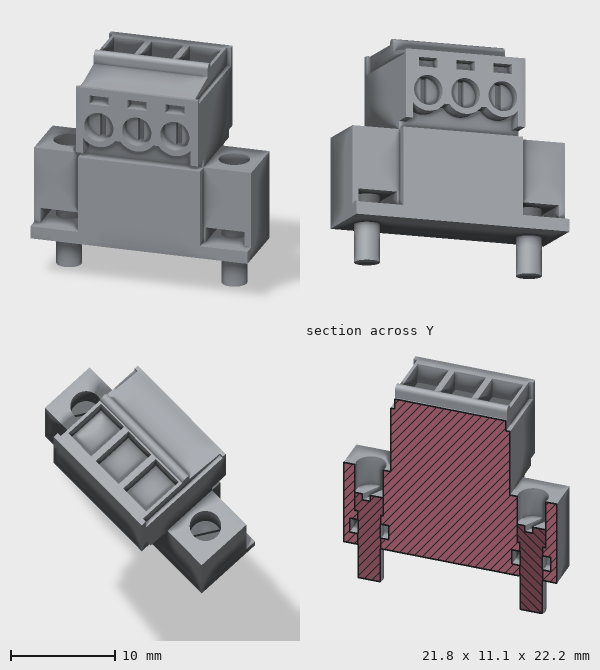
import cadquery as cq


poles = 3
pitch = 3.82
total_length = 21.82
plug_width = 12.25
plug_depth = 11.1
base_bottom = 3.73
shoulder_top = 12.68
plug_bottom = 13.48
plug_top = 21.7
total_height = 22.2

step_front = 0.67
flange_front = 1.82
flange_back = 7.73
back_ledge = 9.9
ledge_chamfer = 0.6
lip_depth = 0.4
lip_top = 20.22
rail_front = 4.42
rail_width = 0.95
rail_foot = 20.95
rail_radius = rail_width / 2
rail_back = rail_front + rail_width

side_recess_depth = 0.4
side_recess_floor = 19.8
side_recess_back = 10.55

pocket_width = 3.2
pocket_front = 5.53
pocket_back = 9.83
pocket_depth = 2.06
window_width = 1.9
window_bottom = 18.58
window_height = 0.9
window_depth = 1.33
bore_height = 16.32
bore_diameter = 2.93
terminal_screw_recess = 1.3
terminal_screw_length = 1.33
terminal_slot_width = 0.58
terminal_slot_depth = 0.67
collar_radius = 2.05
gap_top = 15.1
gap_width = 10.8

foot_top = 4.97
flange_screw_x = 8.3
flange_screw_y = 4.75
head_diameter = 3.02
head_seat = 7.55
head_height = 2.0
head_slot_width = 0.67
head_slot_depth = 0.67
head_slot_angle = 60
shank_diameter = 2.5
notch_width = 3.93
notch_top = 6.5

pole_positions = [(i - (poles - 1) / 2) * pitch for i in range(poles)]
flange_positions = [-flange_screw_x, flange_screw_x]


def box(x_range, y_range, z_range):
    """Axis-aligned box given by its limits along each axis."""
    x0, x1 = x_range
    y0, y1 = y_range
    z0, z1 = z_range
    return cq.Workplane("XY").box(x1 - x0, y1 - y0, z1 - z0, centered=False).translate((x0, y0, z0))


def centred(middle, width):
    """Limits of a span of the given width around its middle."""
    return middle - width / 2, middle + width / 2


def upright_cylinder(x, diameter, z0, z1):
    """Vertical cylinder on the axis of a flange screw."""
    return (
        cq.Workplane("XY", origin=(x, flange_screw_y, z0))
        .circle(diameter / 2)
        .extrude(z1 - z0)
    )


def pole_cylinder(x, radius, y0, y1):
    """Cylinder along Y on the axis of a terminal screw."""
    return (
        cq.Workplane("XZ", origin=(x, y0, bore_height))
        .circle(radius)
        .extrude(-(y1 - y0))
    )


def plug_block():
    """Side profile of the plug, extruded over the width of the poles."""
    profile = (
        cq.Workplane("YZ", origin=(-plug_width / 2, 0, 0))
        .moveTo(0, plug_bottom)
        .lineTo(flange_front, plug_bottom)
        .lineTo(flange_front, shoulder_top)
        .lineTo(step_front, shoulder_top)
        .lineTo(step_front, base_bottom)
        .lineTo(flange_back, base_bottom)
        .lineTo(flange_back, shoulder_top - ledge_chamfer)
        .lineTo(flange_back + ledge_chamfer, shoulder_top)
        .lineTo(back_ledge, shoulder_top)
        .lineTo(back_ledge, plug_bottom)
        .lineTo(plug_depth, plug_bottom)
        .lineTo(plug_depth, plug_top)
        .lineTo(rail_back, plug_top)
        .lineTo(rail_back, total_height - rail_radius)
        .threePointArc(
            (rail_front + rail_radius, total_height),
            (rail_front, total_height - rail_radius),
        )
        .lineTo(rail_front, rail_foot)
        .lineTo(lip_depth, lip_top)
        .lineTo(0, lip_top)
        .close()
    )
    return profile.extrude(plug_width)


def flanges():
    """Bar behind the foot that forms both flanges, with the foot along its front edge."""
    length = centred(0, total_length)
    bar = box(length, (flange_front, flange_back), (base_bottom, shoulder_top))
    foot = box(length, (step_front, flange_front), (base_bottom, foot_top))
    return bar.union(foot)


def side_recess(side):
    """Recess in the upper part of one end face (side is -1 or 1)."""
    outer = side * plug_width / 2
    inner = outer - side * side_recess_depth
    x_range = sorted((outer, inner))
    return box(x_range, (lip_depth, side_recess_back), (side_recess_floor, total_height))


def panel_gap():
    """Gap between the legs of the front panel, stopping at the collars around the bores."""
    gap = box(centred(0, gap_width), (0, flange_front), (plug_bottom, gap_top))
    for x in pole_positions:
        gap = gap.cut(pole_cylinder(x, collar_radius, 0, flange_front))
    return gap


def cut_pole(body, x):
    """Wire pocket, test window and screw bore of one pole."""
    pocket = box(
        centred(x, pocket_width),
        (pocket_front, pocket_back),
        (plug_top - pocket_depth, plug_top),
    )
    window = box(
        centred(x, window_width),
        (0, window_depth),
        (window_bottom, window_bottom + window_height),
    )
    bore_depth = terminal_screw_recess + terminal_screw_length
    bore = pole_cylinder(x, bore_diameter / 2, 0, bore_depth)
    return body.cut(pocket).cut(window).cut(bore)


def cut_flange(body, x):
    """Stepped screw hole and front notch of one flange."""
    head_hole = upright_cylinder(x, head_diameter, head_seat, shoulder_top)
    shank_hole = upright_cylinder(x, shank_diameter, base_bottom, head_seat)
    notch_back = flange_screw_y + notch_width / 2
    notch = box(centred(x, notch_width), (flange_front, notch_back), (foot_top, notch_top))
    return body.cut(head_hole).cut(shank_hole).cut(notch)


def make_housing():
    body = plug_block().union(flanges()).cut(panel_gap())
    for side in (-1, 1):
        body = body.cut(side_recess(side))
    for x in pole_positions:
        body = cut_pole(body, x)
    for x in flange_positions:
        body = cut_flange(body, x)
    return body


def make_terminal_screw(x):
    """Slotted screw recessed in the bore of one pole."""
    face = terminal_screw_recess
    screw = pole_cylinder(x, bore_diameter / 2, face, face + terminal_screw_length)
    slot = box(
        centred(x, terminal_slot_width),
        (face, face + terminal_slot_depth),
        centred(bore_height, bore_diameter),
    )
    return screw.cut(slot)


def make_flange_screw(x):
    """Slotted mounting screw whose shank projects below the base."""
    head_top = head_seat + head_height
    head = upright_cylinder(x, head_diameter, head_seat, head_top)
    shank = upright_cylinder(x, shank_diameter, 0, head_seat)
    slot = (
        cq.Workplane("XY", origin=(x, flange_screw_y, head_top - head_slot_depth))
        .transformed(rotate=(0, 0, head_slot_angle))
        .rect(head_diameter, head_slot_width)
        .extrude(head_slot_depth)
    )
    return head.union(shank).cut(slot)


housing = make_housing()
terminal_screws = [make_terminal_screw(x) for x in pole_positions]
flange_screws = [make_flange_screw(x) for x in flange_positions]

result = cq.Compound.makeCompound(
    [
        housing.val(),
        *[screw.val() for screw in terminal_screws],
        *[screw.val() for screw in flange_screws],
    ]
)